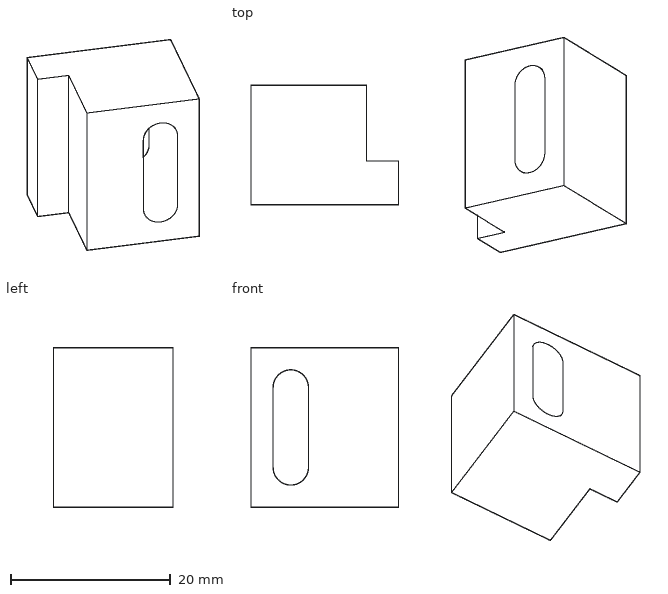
import cadquery as cq

width = 18.5
depth = 15.0
height = 20.0

flange_reach = 4.0
flange_thickness = 5.5

slot_width = 4.4
slot_center_spacing = 10.0
slot_center_x = 5.0
slot_length = slot_center_spacing + slot_width

body_width = width - flange_reach


def make_body():
    """L-shaped block with its front left bottom corner at the origin."""
    body = cq.Workplane("XY").box(body_width, depth, height, centered=False)
    flange = cq.Workplane("XY").box(width, flange_thickness, height, centered=False)
    return body.union(flange)


def make_slot():
    """Round-ended cutter, centered in height and passing through along Y."""
    return (
        cq.Workplane("XZ")
        .center(slot_center_x, height / 2)
        .slot2D(slot_length, slot_width, angle=90)
        .extrude(-depth)
    )


result = make_body().cut(make_slot())